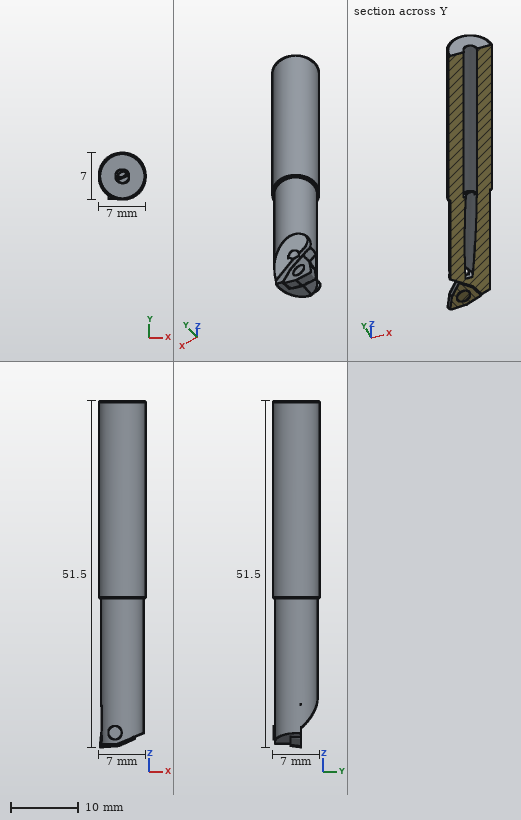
import cadquery as cq
import math

total_length = 51.5
shank_radius = 3.5
shank_length = 29.35
neck_radius = 3.2
edge_chamfer = 0.2
shank_bottom = total_length - shank_length

nose_z = 0.5
nose_slope = 22.5
nose_bend_x = -0.65

insert_x = -1.1
corner_count = 3
corner_step = 360 / corner_count
inscribed_radius = 2.035
corner_half_angle = 40.0
tip_direction = 224.0
tip_radius = 0.2
clearance_angle = 7.0
rake_y = 0.7
insert_thickness = 1.6
corner_distance = inscribed_radius / math.sin(math.radians(corner_half_angle))
tip_centre_distance = corner_distance - tip_radius / math.sin(math.radians(corner_half_angle))
insert_z = tip_radius - tip_centre_distance * math.sin(math.radians(tip_direction))
waist_distance = inscribed_radius / math.sin(math.radians(corner_step - corner_half_angle))

pin_radius = 1.005
pin_end_y = -3.4

flute_axis_z = 5.1
flute_slope_x = -0.87
flute_slope_y = 0.67
flute_wall_y = 0.5
flute_wall_foot_z = 5.65
flute_corner_radius = 1.5
flute_corner_z = 7.15

coolant_radius = 1.05
slant_radius = 0.9
slant_start = cq.Vector(0.15, -0.2, shank_bottom)
slant_end = cq.Vector(-0.2, 0.7, 5.65)

reach = 2 * shank_radius


def insert_point(distance, direction):
    """Point in the XZ plane, polar about the insert centre."""
    angle = math.radians(direction)
    return (insert_x + distance * math.cos(angle), insert_z + distance * math.sin(angle))


def y_plane(y):
    """XZ sketch plane at position y, facing -Y."""
    return cq.Workplane("XZ", origin=(0, y, 0))


def pin_cylinder():
    return y_plane(rake_y).center(insert_x, insert_z).circle(pin_radius).extrude(rake_y - pin_end_y)


def insert_blank():
    """Six-sided insert without its hole, narrowing towards the seat."""
    outline = []
    for corner in range(corner_count):
        direction = tip_direction + corner_step * corner
        outline.append(insert_point(corner_distance, direction))
        outline.append(insert_point(waist_distance, direction + corner_step / 2))
    blank = y_plane(rake_y).polyline(outline).close().extrude(insert_thickness, taper=clearance_angle)
    for corner in range(corner_count):
        x, z = insert_point(corner_distance, tip_direction + corner_step * corner)
        edge = blank.edges(cq.selectors.NearestToPointSelector((x, rake_y - insert_thickness / 2, z)))
        blank = edge.fillet(tip_radius)
    return blank


def make_blank():
    """Stepped round bar with its nose trimmed."""
    neck = cq.Workplane("XY").circle(neck_radius).extrude(shank_bottom)
    shank = cq.Workplane("XY", origin=(0, 0, shank_bottom)).circle(shank_radius).extrude(shank_length)
    shank = shank.faces("<Z or >Z").chamfer(edge_chamfer)
    slope_end_z = nose_z + (reach - nose_bend_x) * math.tan(math.radians(nose_slope))
    nose_outline = [
        (-reach, nose_z),
        (nose_bend_x, nose_z),
        (reach, slope_end_z),
        (reach, -reach),
        (-reach, -reach),
    ]
    nose_cut = y_plane(reach).polyline(nose_outline).close().extrude(2 * reach)
    return neck.union(shank).cut(nose_cut)


def flute_cut():
    """Space beyond the rake face and rounded side wall, below the sloping end face."""
    end_plane = cq.Plane(
        origin=(0, 0, flute_axis_z),
        xDir=(1, 0, flute_slope_x),
        normal=(flute_slope_x, flute_slope_y, -1),
    )
    below_end = cq.Workplane(end_plane).rect(4 * reach, 4 * reach).extrude(2 * reach)
    corner_y = flute_wall_y + flute_corner_radius
    corner_top = flute_corner_z + flute_corner_radius
    arc_offset = flute_corner_radius * math.sqrt(0.5)
    side_wall = (
        cq.Workplane("YZ", origin=(-reach, 0, 0))
        .moveTo(rake_y, -reach)
        .lineTo(rake_y, flute_wall_foot_z)
        .lineTo(flute_wall_y, flute_corner_z)
        .threePointArc((corner_y - arc_offset, flute_corner_z + arc_offset), (corner_y, corner_top))
        .lineTo(reach, corner_top)
        .lineTo(reach, -reach)
        .close()
        .extrude(2 * reach)
    )
    return below_end.intersect(side_wall)


def pocket_cut():
    """Open side of the insert pocket, below the extended line of the insert's rear edge."""
    rear_corner = insert_point(corner_distance, tip_direction - corner_step)
    rear_waist = insert_point(waist_distance, tip_direction + 1.5 * corner_step)
    rear_slope = (rear_corner[1] - rear_waist[1]) / (rear_corner[0] - rear_waist[0])
    far_corner = insert_point(corner_distance, tip_direction + corner_step)
    outer_z = rear_corner[1] + rear_slope * (-reach - rear_corner[0])
    outline = [(-reach, outer_z), rear_waist, far_corner, (far_corner[0], -reach), (-reach, -reach)]
    return y_plane(rake_y).polyline(outline).close().extrude(insert_thickness)


def coolant_cut():
    bore = cq.Workplane("XY", origin=(0, 0, shank_bottom)).circle(coolant_radius).extrude(shank_length)
    path = slant_end - slant_start
    slant = cq.Solid.makeCylinder(slant_radius, path.Length, slant_start, path)
    return bore.union(cq.Workplane(slant))


def make_holder():
    holder = make_blank().cut(flute_cut()).cut(pocket_cut())
    return holder.cut(coolant_cut()).cut(pin_cylinder())


holder = make_holder()
insert = insert_blank().cut(pin_cylinder())
pin = pin_cylinder()

result = cq.Compound.makeCompound([holder.solids().val(), insert.solids().val(), pin.val()])